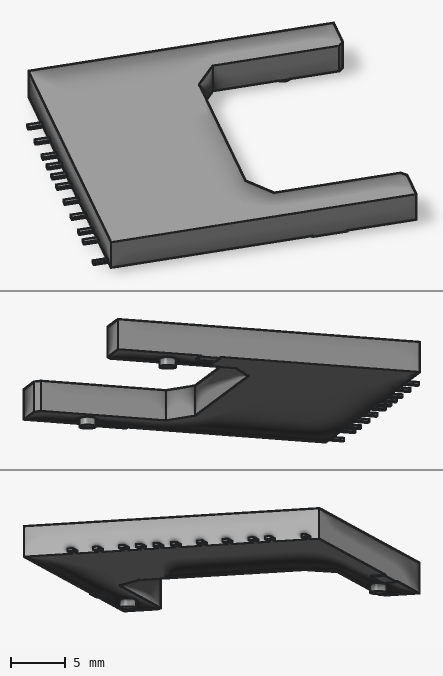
import cadquery as cq

body_width = 28.5
total_length = 30.4
total_height = 3.6

pin_reach = 1.4
peg_height = 0.75
body_length = total_length - pin_reach
body_height = total_height - peg_height
half_width = body_width / 2

arm_width = 3.7
arm_tip_chamfer = 0.5
opening_depth = body_length / 2
opening_corner_width = 2.55
opening_corner_depth = 2.0

pin_thickness = 0.25
pin_embed = 0.3
contact_pitch = 2.5
first_contact_x = -9.35
contact_slots = (0, 1, 2, 4, 5, 6, 7)
contact_width = 0.5
extra_contact_xs = (-2.7, -1.05, 9.75)
switch_pin_x = 13.2
switch_pin_width = 0.4

peg_diameter = 1.5
peg_x = 12.1
peg_from_back = 5.45

tab_thickness = 0.1
tab_width = 1.4
tab_front_from_back = 9.85
left_tab_length = 1.9
right_tab_length = 3.3


def make_housing():
    """U-shaped slab: a plain block less the card opening in its back edge."""
    inner_x = half_width - arm_width
    floor_y = body_length - opening_depth
    right_half = [
        (0, 0),
        (half_width, 0),
        (half_width, body_length),
        (inner_x + arm_tip_chamfer, body_length),
        (inner_x, body_length - arm_tip_chamfer),
        (inner_x, floor_y + opening_corner_depth),
        (inner_x - opening_corner_width, floor_y),
        (0, floor_y),
    ]
    half = cq.Workplane("XY").polyline(right_half).close().extrude(body_height)
    return half.union(half.mirror("YZ")).clean()


def make_pin(x, width):
    """Flat pin flush with the underside, rooted a little way into the housing."""
    length = pin_reach + pin_embed
    pin = cq.Workplane("XY").box(width, length, pin_thickness, centered=(True, False, False))
    return pin.translate((x, -pin_reach, 0))


def make_peg(x):
    """Round locating peg hanging below the underside."""
    return (
        cq.Workplane("XY")
        .center(x, body_length - peg_from_back)
        .circle(peg_diameter / 2)
        .extrude(-peg_height)
    )


def make_tab(side, length):
    """Thin solder tab below one arm, flush with its outer face; side is -1 or +1."""
    center_x = side * (half_width - tab_width / 2)
    tab = cq.Workplane("XY").box(tab_width, length, tab_thickness, centered=(True, False, False))
    return tab.translate((center_x, body_length - tab_front_from_back, -tab_thickness))


result = make_housing()

for slot in contact_slots:
    result = result.union(make_pin(first_contact_x + slot * contact_pitch, contact_width))
for x in extra_contact_xs:
    result = result.union(make_pin(x, contact_width))
result = result.union(make_pin(switch_pin_x, switch_pin_width))

for side in (-1, 1):
    result = result.union(make_peg(side * peg_x))

result = result.union(make_tab(-1, left_tab_length))
result = result.union(make_tab(1, right_tab_length))